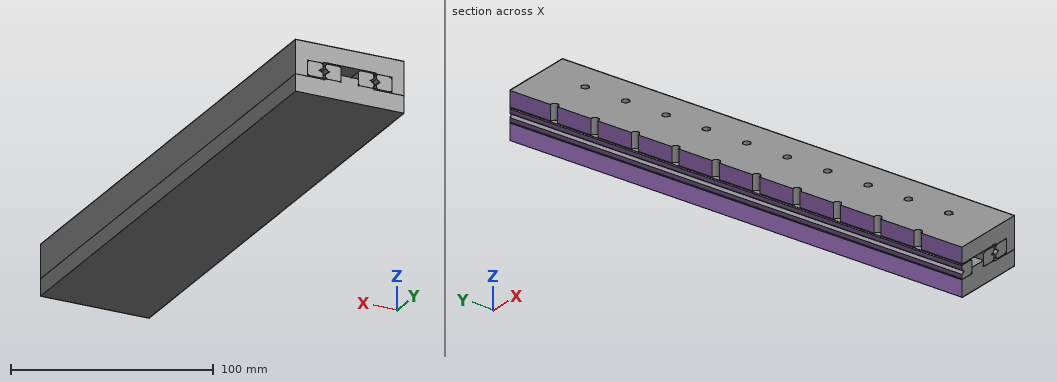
import cadquery as cq

width = 60.0
length = 280.0
height = 28.0

rail_centre_z = height / 2
rail_height = 8.0
rail_bottom = rail_centre_z - rail_height / 2
rail_top = rail_centre_z + rail_height / 2
pair_centre_x = 14.0
pair_width = 18.5
rail_gap = 1.5
rail_chamfer = 0.8
groove_depth = 2.0
groove_half_height = 1.5
pair_inner_x = pair_centre_x - pair_width / 2
pair_outer_x = pair_centre_x + pair_width / 2

clearance = 0.5
parting_z = rail_bottom - clearance
channel_top = rail_top + clearance
centre_rib_top = 13.5
step_offset = 0.42
base_step_x = pair_centre_x - step_offset
table_step_x = pair_centre_x + step_offset

hole_diameter = 4.2
hole_rows = 10
hole_end_margin = 27.5
hole_pitch_y = (length - 2 * hole_end_margin) / (hole_rows - 1)
hole_pitch_x = 25.0


def extrude_profile(points):
    """Extrude an XZ outline along the full length, centred on Y = 0."""
    return cq.Workplane("XZ").polyline(points).close().extrude(length / 2, both=True)


def mirrored_outline(right_half):
    """Complete an outline that is symmetric about X = 0 from its right half."""
    return right_half + [(-x, z) for x, z in reversed(right_half)]


def make_base():
    """Fixed base: low side ledges, raised rail seats and a centre rib that locates the inner rails."""
    return extrude_profile(mirrored_outline([
        (width / 2, 0),
        (width / 2, parting_z),
        (base_step_x, parting_z),
        (base_step_x, rail_bottom),
        (pair_inner_x, rail_bottom),
        (pair_inner_x, centre_rib_top),
    ]))


def make_table():
    """Moving table: an inverted channel whose stepped ceiling seats the outer rails."""
    table = extrude_profile(mirrored_outline([
        (width / 2, height),
        (width / 2, parting_z),
        (pair_outer_x, parting_z),
        (pair_outer_x, rail_top),
        (table_step_x, rail_top),
        (table_step_x, channel_top),
    ]))
    holes = (
        cq.Workplane("XY")
        .workplane(offset=rail_top)
        .rarray(hole_pitch_x, hole_pitch_y, 2, hole_rows)
        .circle(hole_diameter / 2)
        .extrude(height - rail_top)
    )
    return table.cut(holes)


def make_rail(back_x, side):
    """Chamfered rail with its flat back at back_x and a V groove in the face towards the pair centre.

    back_x is measured on the +X side; side (-1 or 1) selects the pair the rail belongs to.
    """
    towards_centre = 1 if back_x < pair_centre_x else -1
    face_x = pair_centre_x - towards_centre * rail_gap / 2
    groove_x = face_x - towards_centre * groove_depth
    chamfer_face_x = face_x - towards_centre * rail_chamfer
    chamfer_back_x = back_x + towards_centre * rail_chamfer
    outline = [
        (chamfer_back_x, rail_bottom),
        (chamfer_face_x, rail_bottom),
        (face_x, rail_bottom + rail_chamfer),
        (face_x, rail_centre_z - groove_half_height),
        (groove_x, rail_centre_z),
        (face_x, rail_centre_z + groove_half_height),
        (face_x, rail_top - rail_chamfer),
        (chamfer_face_x, rail_top),
        (chamfer_back_x, rail_top),
        (back_x, rail_top - rail_chamfer),
        (back_x, rail_bottom + rail_chamfer),
    ]
    return extrude_profile([(side * x, z) for x, z in outline])


base = make_base()
table = make_table()
rails = [
    make_rail(back_x, side)
    for side in (-1, 1)
    for back_x in (pair_inner_x, pair_outer_x)
]

result = cq.Compound.makeCompound([base.val(), table.val(), *[rail.val() for rail in rails]])